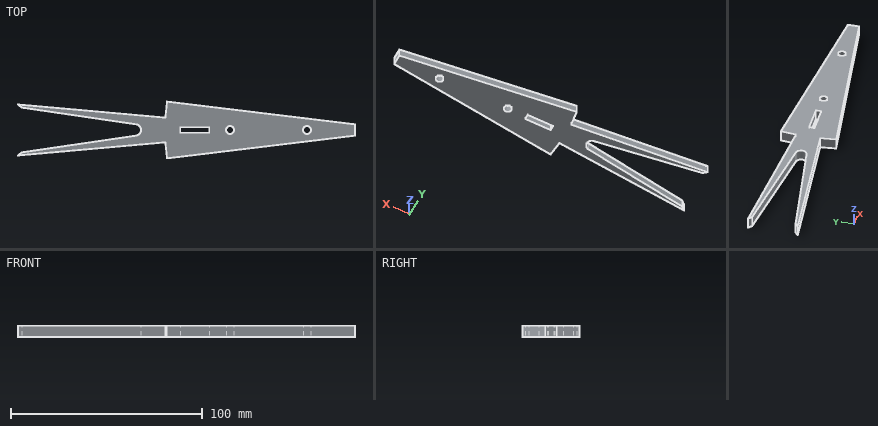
import cadquery as cq
import math

length = 176.0
thickness = 6.0
shoulder_half_width = 29.7 / 2
nose_half_width = 3.0

tip_half_width = 13.4
tip_inner_x = 2.1
tip_inner_half_width = 11.6
crotch_x = 64.2
crotch_radius = 5.8 / 2

neck_x = 77.0
neck_half_width = 6.5
shoulder_x = 77.8

slot_start_x = 84.8
slot_length = 15.0
slot_width = 2.8
hole_diameter = 4.0
hole_positions = (110.7, 150.8)


def crotch_tangent_point():
    """Upper point where the prong's straight inner edge meets the crotch arc."""
    center_x = crotch_x - crotch_radius
    run = center_x - tip_inner_x
    distance = math.hypot(run, tip_inner_half_width)
    angle = math.atan2(tip_inner_half_width, -run) - math.acos(crotch_radius / distance)
    return center_x + crotch_radius * math.cos(angle), crotch_radius * math.sin(angle)


def make_plate():
    """Forked, arrow-shaped plate, symmetric about the X axis."""
    tangent_x, tangent_y = crotch_tangent_point()
    return (
        cq.Workplane("XY")
        .moveTo(tangent_x, -tangent_y)
        .threePointArc((crotch_x, 0), (tangent_x, tangent_y))
        .lineTo(tip_inner_x, tip_inner_half_width)
        .lineTo(0, tip_half_width)
        .lineTo(neck_x, neck_half_width)
        .lineTo(shoulder_x, shoulder_half_width)
        .lineTo(length, nose_half_width)
        .lineTo(length, -nose_half_width)
        .lineTo(shoulder_x, -shoulder_half_width)
        .lineTo(neck_x, -neck_half_width)
        .lineTo(0, -tip_half_width)
        .lineTo(tip_inner_x, -tip_inner_half_width)
        .close()
        .extrude(thickness)
    )


def make_slot():
    """Rectangular through slot behind the neck."""
    slot_center_x = slot_start_x + slot_length / 2
    return (
        cq.Workplane("XY")
        .center(slot_center_x, 0)
        .rect(slot_length, slot_width)
        .extrude(thickness)
    )


def make_holes():
    """Round through holes on the centreline."""
    return (
        cq.Workplane("XY")
        .pushPoints([(x, 0) for x in hole_positions])
        .circle(hole_diameter / 2)
        .extrude(thickness)
    )


result = make_plate().cut(make_slot()).cut(make_holes())